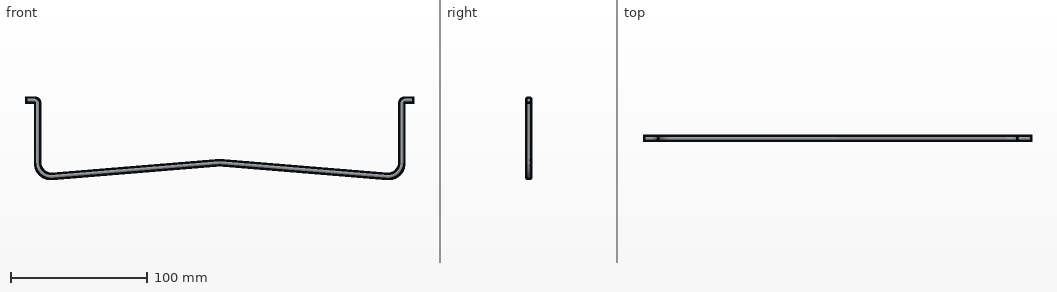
import cadquery as cq
import math

rod_diameter = 4.0
overall_length = 284.0
overall_height = 60.0
end_straight = 6.0
upper_bend_radius = 2.5
lower_bend_radius = 10.0
peak_bend_radius = 15.0
arm_slope = math.radians(4.7)

rod_radius = rod_diameter / 2
end_x = -overall_length / 2
upper_bend_x = end_x + end_straight
leg_x = upper_bend_x + upper_bend_radius
lowest_z = rod_diameter - overall_height
lower_centre_x = leg_x + lower_bend_radius
lower_centre_z = lowest_z + lower_bend_radius
arm_start_x = lower_centre_x + lower_bend_radius * math.sin(arm_slope)
arm_start_z = lower_centre_z - lower_bend_radius * math.cos(arm_slope)
arm_end_x = -peak_bend_radius * math.sin(arm_slope)
arm_end_z = arm_start_z + (arm_end_x - arm_start_x) * math.tan(arm_slope)


def straight_rod(start, end):
    """Round bar between two (x, z) points of the centreline."""
    start_point = cq.Vector(start[0], 0, start[1])
    span = cq.Vector(end[0], 0, end[1]) - start_point
    return cq.Solid.makeCylinder(rod_radius, span.Length, start_point, span.normalized())


def bent_rod(start, tangent, turn, radius):
    """Round bar swept from an (x, z) point; a positive turn veers to the left of travel."""
    side = math.copysign(1, turn)
    start_plane = cq.Plane(
        origin=(start[0], 0, start[1]),
        xDir=(-tangent[1], 0, tangent[0]),
        normal=(tangent[0], 0, tangent[1]),
    )
    return (
        cq.Workplane(start_plane)
        .circle(rod_radius)
        .revolve(abs(math.degrees(turn)), (side * radius, -side), (side * radius, 0))
        .val()
    )


def half_rod():
    """Straights and bends from the -X end to the last straight before mid-span."""
    right_angle = math.pi / 2
    end_tip = (end_x, 0)
    upper_bend_start = (upper_bend_x, 0)
    leg_top = (leg_x, -upper_bend_radius)
    leg_bottom = (leg_x, lower_centre_z)
    arm_start = (arm_start_x, arm_start_z)
    arm_end = (arm_end_x, arm_end_z)
    return [
        straight_rod(end_tip, upper_bend_start),
        bent_rod(upper_bend_start, (1, 0), -right_angle, upper_bend_radius),
        straight_rod(leg_top, leg_bottom),
        bent_rod(leg_bottom, (0, -1), right_angle + arm_slope, lower_bend_radius),
        straight_rod(arm_start, arm_end),
    ]


def peak_bend():
    """Shallow bend at mid-span joining the two arms."""
    arm_direction = (math.cos(arm_slope), math.sin(arm_slope))
    return bent_rod((arm_end_x, arm_end_z), arm_direction, -2 * arm_slope, peak_bend_radius)


left_half = half_rod()
right_half = [piece.mirror("YZ") for piece in left_half]

rod = left_half[0].fuse(*left_half[1:], peak_bend(), *right_half)
result = cq.Workplane(rod.Solids()[0])